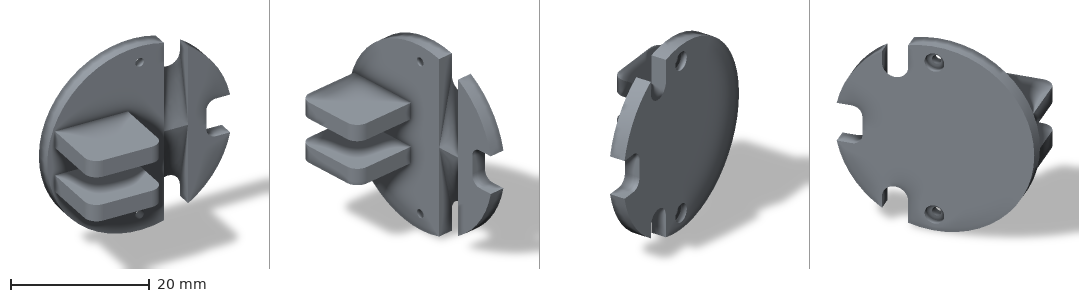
import cadquery as cq

plate_radius = 15.25
plate_thickness = 2.5

total_depth = 13.2
tab_thickness = 2.7
tab_gap = 4.57
tab_width = 12.0
tab_center_y = -7.95
tab_corner_radius = 1.98

hole_diameter = 1.4
counterbore_diameter = 3.0
counterbore_depth = 1.0
hole_offset_z = 12.6

slot_width = 4.0
slot_center_y = 6.0
slot_inner_z = 9.1
slot_overlap = 0.18

notch_width = 6.25
notch_floor_y = 11.0
notch_corner_radius = 1.6

rim_clearance = 1.52


def x_cylinder(diameter, length, y, z):
    """Cylinder along +X from the outer face."""
    return cq.Workplane("YZ").center(y, z).circle(diameter / 2).extrude(length)


def make_tab(side):
    """Tab above (side = 1) or below (side = -1) the middle plane."""
    center_z = side * (tab_gap + tab_thickness) / 2
    return (
        cq.Workplane("XY")
        .box(total_depth - plate_thickness, tab_width, tab_thickness, centered=(False, True, True))
        .edges("|Z and >X")
        .fillet(tab_corner_radius)
        .translate((plate_thickness, tab_center_y, center_z))
    )


def make_screw_hole(side):
    z = side * hole_offset_z
    through_hole = x_cylinder(hole_diameter, plate_thickness, 0, z)
    return through_hole.union(x_cylinder(counterbore_diameter, counterbore_depth, 0, z))


def make_slot(side):
    """Slot lofted from a half-round end at the outer face to a flat end at the back face."""
    half_width = slot_width / 2
    rim_z = side * (plate_radius + rim_clearance)
    front_arc_z = side * (slot_inner_z + half_width)
    front = (
        cq.Workplane("YZ", origin=(0, slot_center_y, 0))
        .moveTo(-half_width, rim_z)
        .lineTo(-half_width, front_arc_z)
        .threePointArc((0, side * slot_inner_z), (half_width, front_arc_z))
        .lineTo(half_width, rim_z)
        .close()
    )
    back_end_z = -side * slot_overlap
    back = (
        cq.Workplane("YZ", origin=(plate_thickness, slot_center_y, 0))
        .moveTo(-half_width, rim_z)
        .lineTo(-half_width, back_end_z)
        .lineTo(half_width, back_end_z)
        .lineTo(half_width, rim_z)
        .close()
    )
    return cq.Workplane(cq.Solid.makeLoft([front.wire().val(), back.wire().val()], True))


def make_notch():
    """Notch with rounded inner corners."""
    notch_length = plate_radius + rim_clearance - notch_floor_y
    return (
        cq.Workplane("XY")
        .box(plate_thickness, notch_length, notch_width, centered=(False, False, True))
        .edges("|X and <Y")
        .fillet(notch_corner_radius)
        .translate((0, notch_floor_y, 0))
    )


result = x_cylinder(2 * plate_radius, plate_thickness, 0, 0).cut(make_notch())
for side in (1, -1):
    result = result.union(make_tab(side))
    result = result.cut(make_slot(side)).cut(make_screw_hole(side))